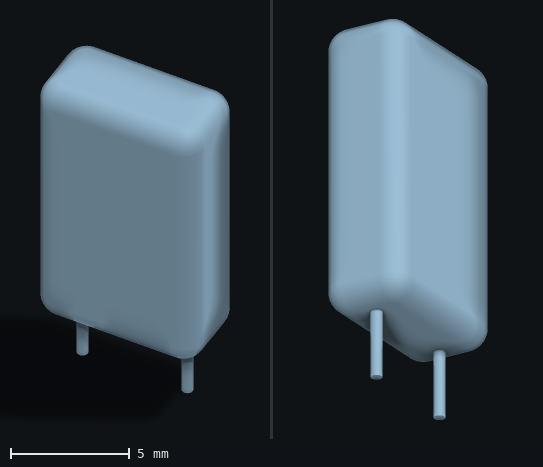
import cadquery as cq

body_width = 7.7
body_depth = 4.0
total_height = 16.0

lead_length = 3.0
lead_diameter = 0.5
lead_pitch = 5.0

body_height = total_height - lead_length
edge_radius = body_depth / 4


def make_body():
    """Block standing on Z = 0 with every edge rounded."""
    block = cq.Workplane("XY").box(body_width, body_depth, body_height, centered=(True, True, False))
    return block.edges().fillet(edge_radius)


def make_leads():
    """Two round leads hanging from the flat underside, side by side along X."""
    lead_top = edge_radius
    return (
        cq.Workplane("XY", origin=(0, 0, lead_top))
        .pushPoints([(-lead_pitch / 2, 0), (lead_pitch / 2, 0)])
        .circle(lead_diameter / 2)
        .extrude(-(lead_top + lead_length))
    )


result = make_body().union(make_leads())